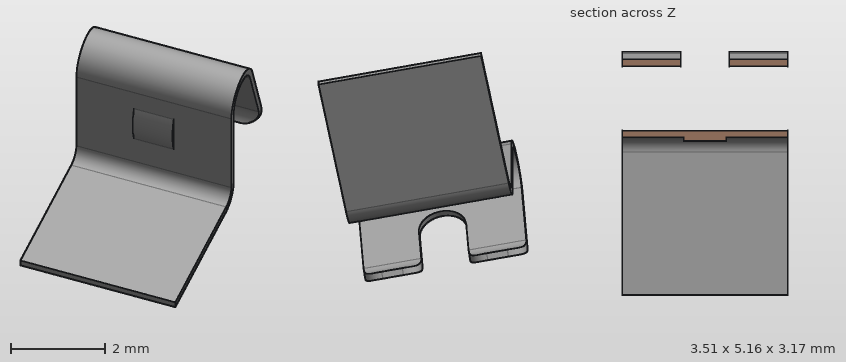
import cadquery as cq
import math

width = 3.51
thickness = 0.15
height = 3.17

foot_flat = 3.04
foot_bend_inner = 0.3
foot_bend_outer = foot_bend_inner + thickness

hook_inner = 0.5
hook_outer = hook_inner + thickness

arm_lean = 19.0
arm_length = 1.59
lip_inner = 0.5
lip_outer = lip_inner + thickness
lip_end_angle = -33.0
lip_corner_radius = 0.4

slot_width = 1.02
slot_start = 0.3

pad_size = 0.9
pad_rise = 0.08
pad_center_z = height / 2


def polar(center, radius, angle):
    """Point in the YZ plane at an angle in degrees, measured from +Y toward +Z."""
    turn = math.radians(angle)
    return (center[0] + radius * math.cos(turn), center[1] + radius * math.sin(turn))


foot_bend_center = (-foot_bend_inner, foot_bend_outer)
hook_center = (hook_outer, height - hook_outer)
arm_end = polar(polar(hook_center, hook_outer, arm_lean), arm_length, arm_lean - 90)
lip_center = polar(arm_end, -lip_outer, arm_lean)


def make_strip():
    """Side outline of the bent strip, extruded across the full width."""
    hook_mid = (180 + arm_lean) / 2
    lip_mid = (arm_lean + lip_end_angle) / 2
    foot_end = -foot_bend_inner - foot_flat
    foot_bend_mid = -45
    wall_bottom = foot_bend_outer
    wall_top = hook_center[1]
    outline = (
        cq.Workplane("YZ", origin=(-width / 2, 0, 0))
        .moveTo(foot_end, 0)
        .lineTo(foot_bend_center[0], 0)
        .threePointArc(
            polar(foot_bend_center, foot_bend_outer, foot_bend_mid),
            (thickness, wall_bottom),
        )
        .lineTo(thickness, wall_top)
        .threePointArc(polar(hook_center, hook_inner, hook_mid), polar(hook_center, hook_inner, arm_lean))
        .lineTo(*polar(lip_center, lip_inner, arm_lean))
        .threePointArc(polar(lip_center, lip_inner, lip_mid), polar(lip_center, lip_inner, lip_end_angle))
        .lineTo(*polar(lip_center, lip_outer, lip_end_angle))
        .threePointArc(polar(lip_center, lip_outer, lip_mid), polar(lip_center, lip_outer, arm_lean))
        .lineTo(*polar(hook_center, hook_outer, arm_lean))
        .threePointArc(polar(hook_center, hook_outer, hook_mid), (0, wall_top))
        .lineTo(0, wall_bottom)
        .threePointArc(
            polar(foot_bend_center, foot_bend_inner, foot_bend_mid),
            (foot_bend_center[0], thickness),
        )
        .lineTo(foot_end, thickness)
        .close()
    )
    return outline.extrude(width)


def make_slot():
    """Round-ended cutter, square to the arm, running from slot_start past the lip."""
    arm_top = polar(hook_center, hook_outer, arm_lean)
    outward = polar((0, 0), 1, arm_lean)
    arm_plane = cq.Plane(
        origin=(0, arm_top[0], arm_top[1]),
        xDir=(1, 0, 0),
        normal=(0, outward[0], outward[1]),
    )
    half = slot_width / 2
    slot_end = arm_length + 2 * lip_outer
    return (
        cq.Workplane(arm_plane)
        .moveTo(-half, slot_end)
        .lineTo(-half, slot_start + half)
        .threePointArc((0, slot_start), (half, slot_start + half))
        .lineTo(half, slot_end)
        .close()
        .extrude(lip_outer, both=True)
    )


def make_pad():
    """Pad with a cylindrical front, sunk into the wall so that it joins it."""
    half = pad_size / 2
    return (
        cq.Workplane("YZ", origin=(-half, 0, 0))
        .moveTo(0, pad_center_z - half)
        .threePointArc((-pad_rise, pad_center_z), (0, pad_center_z + half))
        .lineTo(thickness, pad_center_z + half)
        .lineTo(thickness, pad_center_z - half)
        .close()
        .extrude(pad_size)
    )


def round_prong_corners(body):
    """Round the corners at the free ends of both prongs."""
    corner = polar(lip_center, (lip_inner + lip_outer) / 2, lip_end_angle)
    reach = thickness / 4
    corner_zone = cq.selectors.BoxSelector(
        (-width, corner[0] - reach, corner[1] - reach),
        (width, corner[0] + reach, corner[1] + reach),
    )
    return body.edges(corner_zone).fillet(lip_corner_radius)


slotted_strip = make_strip().cut(make_slot())
result = round_prong_corners(slotted_strip).union(make_pad())